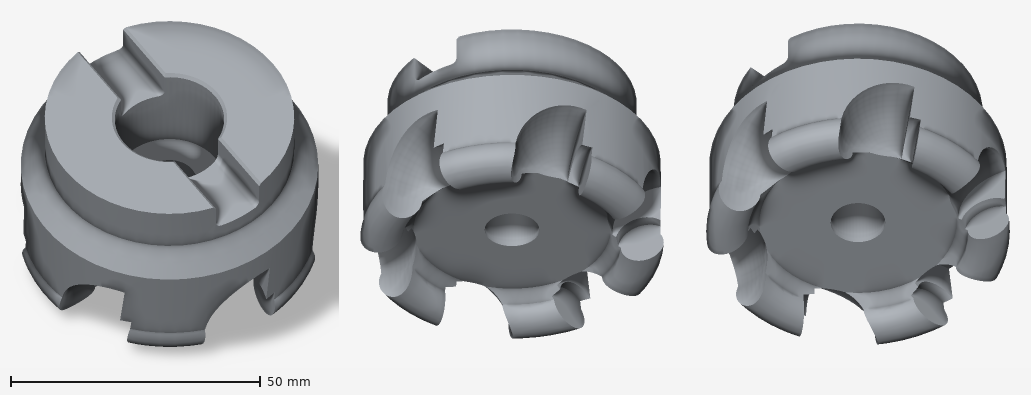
import cadquery as cq
import math

HEIGHT = 38.1
BODY_RADIUS = 29.85
NECK_RADIUS = 25.0
NECK_BOTTOM = 28.0
CONE_BOTTOM = NECK_BOTTOM - (BODY_RADIUS - NECK_RADIUS)

RIM_RADIUS = 30.45
ROUND_RADIUS = 4.2
RING_RADIUS = RIM_RADIUS - ROUND_RADIUS
CEILING_RADIUS = 19.8
CEILING_HEIGHT = 6.65
CEILING_EDGE_HEIGHT = 4.3

BORE_RADIUS = 10.95
BORE_DEPTH = 20.1
BORE_CHAMFER = 0.6
HOLE_RADIUS = 5.5

SLOT_WIDTH = 10.5
SLOT_DEPTH = 6.4
SLOT_FLOOR_FILLET = 1.2
SLOT_EDGE_CHAMFER = 0.55

TOOTH_COUNT = 6
GULLET_RADIUS = 13.6
GULLET_FILLET = 10.0
GULLET_OPEN_X = -36.5
GULLET_WALL_X = -19.7
RAKE_Y = -3.9
GULLET_HEIGHT = 3.9
SKIRT_DEPTH = 8.5
AXIAL_TILT = 6.0
RADIAL_TILT = 5.0

SEAT_RADIUS = 5.55
SEAT_SETBACK = 2.25
SEAT_X = -25.9
SEAT_RISE = 0.35


def ring_half_width(height):
    """Horizontal half width of the round rim section at a given height."""
    return math.sqrt(ROUND_RADIUS**2 - (height - ROUND_RADIUS) ** 2)


def body():
    rim_join_height = ROUND_RADIUS + math.sqrt(ROUND_RADIUS**2 - (BODY_RADIUS - RING_RADIUS) ** 2)
    ceiling_edge_radius = RING_RADIUS - ring_half_width(CEILING_EDGE_HEIGHT)
    profile = (
        cq.Workplane("XZ")
        .moveTo(0, CEILING_HEIGHT)
        .lineTo(CEILING_RADIUS, CEILING_HEIGHT)
        .lineTo(ceiling_edge_radius, CEILING_EDGE_HEIGHT)
        .threePointArc((RING_RADIUS, 0), (RIM_RADIUS, ROUND_RADIUS))
        .radiusArc((BODY_RADIUS, rim_join_height), -ROUND_RADIUS)
        .lineTo(BODY_RADIUS, CONE_BOTTOM)
        .lineTo(NECK_RADIUS, NECK_BOTTOM)
        .lineTo(NECK_RADIUS, HEIGHT)
        .lineTo(0, HEIGHT)
        .close()
    )
    return profile.revolve(360, (0, 0, 0), (0, 1, 0))


def bore():
    floor = HEIGHT - BORE_DEPTH
    profile = (
        cq.Workplane("XZ")
        .lineTo(HOLE_RADIUS, 0)
        .lineTo(HOLE_RADIUS, floor)
        .lineTo(BORE_RADIUS, floor)
        .lineTo(BORE_RADIUS, HEIGHT - BORE_CHAMFER)
        .lineTo(BORE_RADIUS + BORE_CHAMFER, HEIGHT)
        .lineTo(0, HEIGHT)
        .close()
    )
    return profile.revolve(360, (0, 0, 0), (0, 1, 0))


def driving_slot():
    half = SLOT_WIDTH / 2
    floor = HEIGHT - SLOT_DEPTH
    length = 2 * RIM_RADIUS
    channel = (
        cq.Workplane("XY")
        .box(length, SLOT_WIDTH, SLOT_DEPTH, centered=(True, True, False))
        .edges("|X and <Z")
        .fillet(SLOT_FLOOR_FILLET)
        .translate((0, 0, floor))
    )
    bevel = (
        cq.Workplane("YZ")
        .moveTo(-half, HEIGHT - SLOT_EDGE_CHAMFER)
        .lineTo(half, HEIGHT - SLOT_EDGE_CHAMFER)
        .lineTo(half + SLOT_EDGE_CHAMFER, HEIGHT)
        .lineTo(-half - SLOT_EDGE_CHAMFER, HEIGHT)
        .close()
        .extrude(length / 2, both=True)
    )
    return channel.union(bevel)


def half_gullet_outline(workplane):
    """Half of the gullet section: a flat inner wall, a round corner, then straight out to the open side."""
    open_x = GULLET_OPEN_X - GULLET_WALL_X
    wall_half_width = GULLET_RADIUS - GULLET_FILLET
    corner = GULLET_FILLET * math.sqrt(0.5)
    return (
        workplane.moveTo(0, 0)
        .lineTo(0, wall_half_width)
        .threePointArc((corner - GULLET_FILLET, wall_half_width + corner), (-GULLET_FILLET, GULLET_RADIUS))
        .lineTo(open_x, GULLET_RADIUS)
        .lineTo(open_x, 0)
        .close()
    )


def gullet():
    """Quarter dome turned from the rake plane, continued straight down through the rim.

    Local frame: origin on the inner wall in the rake plane, at the base of the dome;
    the rake plane is y = 0 and the gullet lies on its +y side.
    """
    dome = half_gullet_outline(cq.Workplane("XZ")).revolve(90, (0, 0, 0), (-1, 0, 0))
    skirt = half_gullet_outline(cq.Workplane("XY")).extrude(-SKIRT_DEPTH)
    return dome.union(skirt)


def insert_seat():
    """Round seat sunk into the rake face, in the same local frame as the gullet."""
    return (
        cq.Workplane("XZ")
        .center(SEAT_X - GULLET_WALL_X, SEAT_RISE)
        .circle(SEAT_RADIUS)
        .extrude(SEAT_SETBACK)
    )


def tooth_gap():
    gap = gullet().union(insert_seat())
    tilted = gap.rotate((0, 0, 0), (1, 0, 0), AXIAL_TILT).rotate((0, 0, 0), (0, 0, 1), -RADIAL_TILT)
    return tilted.translate((GULLET_WALL_X, RAKE_Y, GULLET_HEIGHT))


result = body().cut(bore()).cut(driving_slot())
gap = tooth_gap()
for index in range(TOOTH_COUNT):
    result = result.cut(gap.rotate((0, 0, 0), (0, 0, 1), index * 360 / TOOTH_COUNT))